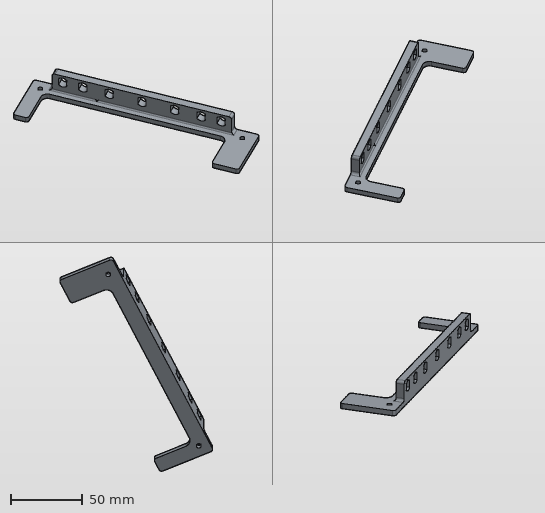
import cadquery as cq
import math

length = 169.8
depth = 41.3
plate_thickness = 4.0
bar_depth = 11.2
left_leg_width = 11.4
right_leg_width = 20.4
inner_corner_radius = 5.0
outer_corner_radius = 2.0

mount_hole_diameter = 3.4
mount_hole_setback = 7.8
mount_hole_xs = (-77.1, 74.9)

total_height = 19.0
wall_length = 135.0
wall_thickness = 6.1
wall_center_x = -1.4
wall_corner_radius = 2.0
end_root_radius = 2.0
front_root_radius = 1.0

notch_center_x = -35.2
notch_half_width = 1.2

slot_width = 6.1
slot_height = 8.0
slot_center_z = 13.0
slot_offsets = (24.6, 44.5, 59.6)

left_x = -length / 2
right_x = length / 2
front_y = -depth / 2
back_y = depth / 2
wall_front_y = back_y - wall_thickness


def make_plate():
    inner_left_x = left_x + left_leg_width
    inner_right_x = right_x - right_leg_width
    bar_front_y = back_y - bar_depth
    plate = (
        cq.Workplane("XY")
        .polyline([
            (left_x, back_y),
            (right_x, back_y),
            (right_x, front_y),
            (inner_right_x, front_y),
            (inner_right_x, bar_front_y),
            (inner_left_x, bar_front_y),
            (inner_left_x, front_y),
            (left_x, front_y),
        ])
        .close()
        .extrude(plate_thickness)
    )
    inner_corners = cq.selectors.BoxSelector(
        (inner_left_x - 1.7, bar_front_y - 1.7, 0),
        (inner_right_x + 1.7, bar_front_y + 1.7, plate_thickness),
    )
    outer_edges = plate.edges("|Z").edges(cq.selectors.InverseSelector(inner_corners))
    plate = outer_edges.fillet(outer_corner_radius)
    plate = plate.edges("|Z").edges(inner_corners).fillet(inner_corner_radius)
    holes = (
        cq.Workplane("XY")
        .pushPoints([(x, back_y - mount_hole_setback) for x in mount_hole_xs])
        .circle(mount_hole_diameter / 2)
        .extrude(plate_thickness)
    )
    return plate.cut(holes)


def make_wall():
    """Cross two profiles so that the root fillets meet in mitred corners."""
    wall_left_x = wall_center_x - wall_length / 2
    wall_right_x = wall_center_x + wall_length / 2
    end_root_z = plate_thickness + end_root_radius
    shoulder_z = total_height - wall_corner_radius
    long_profile = (
        cq.Workplane("XZ", origin=(0, back_y, 0))
        .moveTo(wall_left_x - end_root_radius, 0)
        .lineTo(wall_left_x - end_root_radius, plate_thickness)
        .radiusArc((wall_left_x, end_root_z), -end_root_radius)
        .lineTo(wall_left_x, shoulder_z)
        .radiusArc((wall_left_x + wall_corner_radius, total_height), wall_corner_radius)
        .lineTo(wall_right_x - wall_corner_radius, total_height)
        .radiusArc((wall_right_x, shoulder_z), wall_corner_radius)
        .lineTo(wall_right_x, end_root_z)
        .radiusArc((wall_right_x + end_root_radius, plate_thickness), -end_root_radius)
        .lineTo(wall_right_x + end_root_radius, 0)
        .close()
        .extrude(wall_thickness + front_root_radius)
    )
    cross_profile = (
        cq.Workplane("YZ", origin=(left_x, 0, 0))
        .moveTo(back_y, 0)
        .lineTo(wall_front_y - front_root_radius, 0)
        .lineTo(wall_front_y - front_root_radius, plate_thickness)
        .radiusArc((wall_front_y, plate_thickness + front_root_radius), -front_root_radius)
        .lineTo(wall_front_y, total_height)
        .lineTo(back_y, total_height)
        .close()
        .extrude(length)
    )
    return long_profile.intersect(cross_profile)


def make_slots():
    """Round holes of slot_height diameter, narrowed by two flat sides."""
    offsets = [0.0]
    for offset in slot_offsets:
        offsets += [-offset, offset]
    half_width = slot_width / 2
    half_side = math.sqrt((slot_height / 2) ** 2 - half_width ** 2)
    slots = cq.Workplane("XZ", origin=(wall_center_x, back_y, slot_center_z))
    for offset in offsets:
        slots = (
            slots.moveTo(offset - half_width, -half_side)
            .lineTo(offset - half_width, half_side)
            .threePointArc((offset, slot_height / 2), (offset + half_width, half_side))
            .lineTo(offset + half_width, -half_side)
            .threePointArc((offset, -slot_height / 2), (offset - half_width, -half_side))
            .close()
        )
    return slots.extrude(wall_thickness)


def make_root_notch():
    notch_top_z = plate_thickness + front_root_radius
    return (
        cq.Workplane("XZ", origin=(notch_center_x, wall_front_y, 0))
        .polyline([
            (0, plate_thickness),
            (notch_half_width, notch_top_z),
            (-notch_half_width, notch_top_z),
        ])
        .close()
        .extrude(front_root_radius)
    )


result = make_plate().union(make_wall()).cut(make_slots()).cut(make_root_notch())